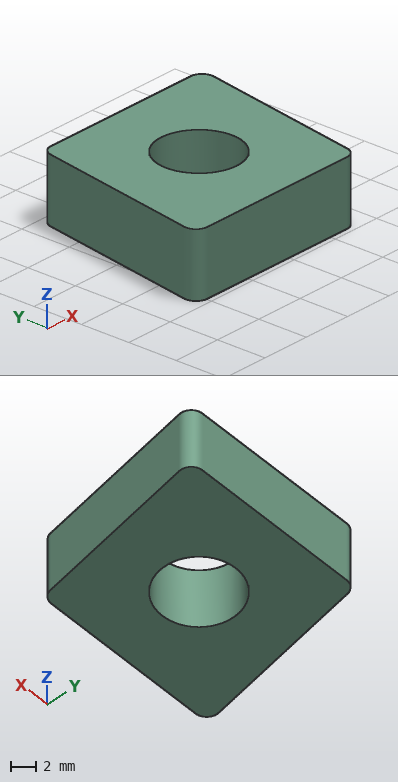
import cadquery as cq
import math

length = 22.25
width = 19.05
thickness = 6.35
acute_angle = math.radians(80)
corner_radius = 1.2
hole_diameter = 7.95

corner_loss = corner_radius * (1 / math.tan(acute_angle / 2) - 1)
sharp_length = length + 2 * corner_loss
side_shift = width / math.tan(acute_angle)

half_length = sharp_length / 2
half_width = width / 2
corners = [
    (-half_length, -half_width),
    (half_length - side_shift, -half_width),
    (half_length, half_width),
    (-half_length + side_shift, half_width),
]

body = cq.Workplane("XY").polyline(corners).close().extrude(thickness)
body = body.edges("|Z").fillet(corner_radius)

result = body.faces(">Z").workplane(origin=(0, 0, thickness)).hole(hole_diameter)